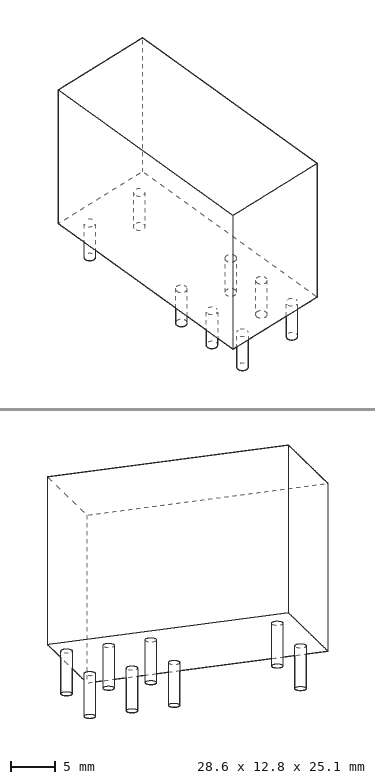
import cadquery as cq

housing_length = 28.6
housing_width = 12.8
housing_height = 20.0

pin_diameter = 1.3
pin_length = 5.1
pin_pitch = 5.0
coil_gap = 3 * pin_pitch
row_spacing = 7.5
first_pin_inset = 2.3

first_pin_x = -housing_length / 2 + first_pin_inset
contact_pin_x = first_pin_x + coil_gap
pin_columns = [
    first_pin_x,
    contact_pin_x,
    contact_pin_x + pin_pitch,
    contact_pin_x + 2 * pin_pitch,
]
pin_rows = [-row_spacing / 2, row_spacing / 2]


def make_housing():
    """Rectangular block standing on Z = 0."""
    return cq.Workplane("XY").box(
        housing_length, housing_width, housing_height, centered=(True, True, False)
    )


def make_pin(x, y):
    """Round pin hanging from the underside of the housing."""
    return cq.Workplane("XY").center(x, y).circle(pin_diameter / 2).extrude(-pin_length)


housing = make_housing()
pins = [make_pin(x, y) for x in pin_columns for y in pin_rows]

result = cq.Compound.makeCompound([housing.val(), *[pin.val() for pin in pins]])